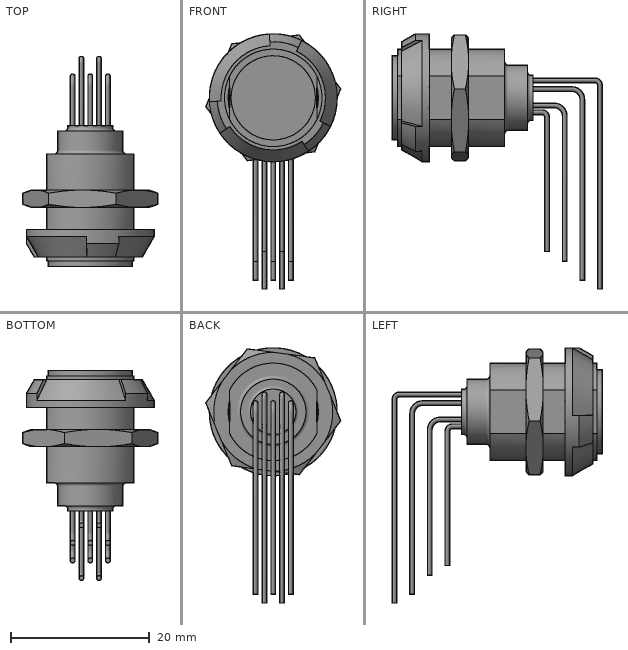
import cadquery as cq
import math


body_radius = 7.02
flat_offset = 6.3
cap_radius = 6.07
cap_length = 0.8
body_end = 16.22
neck_radius = 4.7
neck_end = 19.53
neck_fillet = 0.5
boss_radius = 3.27
boss_end = 20.3
boss_fillet = 0.45

collar_radius = 9.25
collar_front = 1.35
collar_back = 5.37
cone_start = 4.35
lug_cone_start = 3.35
cone_angle = 30
lug_count = 3
lug_span = 30
lug_start_angle = 63.5
relief_overshoot = 0.75

bore_radius = 6.47
recess_depth = 0.2

nut_front = 8.55
nut_back = 11.0
nut_corner_radius = 9.82
nut_turn = 7.6
nut_face_radius = 8.57
nut_chamfer_depth = 0.45

pin_radius = 0.35
pin_pitch = 2.55
last_row_y = 29.95
small_bend = 0.7
large_bend = 1.5
two_pins = (-pin_pitch / 2, pin_pitch / 2)
three_pins = (-pin_pitch, 0, pin_pitch)
pin_rows = [
    (two_pins, 2.5, -27.55, small_bend),
    (three_pins, 1.25, -26.3, large_bend),
    (three_pins, -1.1, -23.58, large_bend),
    (two_pins, -2.1, -22.15, small_bend),
]


def turn_about_axis(solid, angle):
    """Rotate a solid about the Y axis, from +X towards +Z."""
    return solid.rotate((0, 0, 0), (0, -1, 0), angle)


def turned(profile, angle=360):
    """Revolve an XY profile about the Y axis, from +X towards +Z."""
    return profile.revolve(angle, (0, 0), (0, -1))


def cylinder(radius, start, end):
    return cq.Workplane("XZ", origin=(0, start, 0)).circle(radius).extrude(start - end)


def flatted_barrel():
    barrel = cylinder(body_radius, cap_length, body_end)
    flats = cq.Workplane("XY").box(2 * flat_offset, 2 * body_end, 2 * body_radius)
    return barrel.intersect(flats)


def rear_step(radius, start, end, fillet):
    """Cylinder with a concave fillet where it leaves the shoulder at start."""
    middle = fillet * (1 - math.sqrt(0.5))
    profile = (
        cq.Workplane("XY")
        .moveTo(0, start)
        .lineTo(radius + fillet, start)
        .threePointArc((radius + middle, start + middle), (radius, start + fillet))
        .lineTo(radius, end)
        .lineTo(0, end)
        .close()
    )
    return turned(profile)


def cone_front_radius(cone_edge):
    """Radius at the collar front of a cone that leaves the rim at cone_edge."""
    return collar_radius - (cone_edge - collar_front) * math.tan(math.radians(cone_angle))


def collar():
    """Ring with the outer lug cone, cut back to the main cone between the lugs."""
    ring = turned(cq.Workplane("XY").polyline([
        (body_radius, collar_front),
        (cone_front_radius(lug_cone_start), collar_front),
        (collar_radius, lug_cone_start),
        (collar_radius, collar_back),
        (bore_radius, collar_back),
        (bore_radius, collar_front + recess_depth),
        (body_radius, collar_front + recess_depth),
    ]).close())
    lug_pitch = 360 / lug_count
    for index in range(lug_count):
        relief = turned(cq.Workplane("XY").polyline([
            (cone_front_radius(cone_start), collar_front),
            (collar_radius, cone_start),
            (collar_radius + relief_overshoot, cone_start),
            (collar_radius + relief_overshoot, collar_front),
        ]).close(), lug_pitch - lug_span)
        ring = ring.cut(turn_about_axis(relief, lug_start_angle + lug_span + index * lug_pitch))
    return ring


def hex_nut():
    """Hexagon with chamfered corners and a bore that is recessed at the front."""
    prism = cq.Workplane("XZ", origin=(0, nut_front, 0)).polygon(6, 2 * nut_corner_radius)
    prism = prism.extrude(nut_front - nut_back)
    envelope = turned(cq.Workplane("XY").polyline([
        (body_radius, nut_front),
        (nut_face_radius, nut_front),
        (nut_corner_radius, nut_front + nut_chamfer_depth),
        (nut_corner_radius, nut_back - nut_chamfer_depth),
        (nut_face_radius, nut_back),
        (bore_radius, nut_back),
        (bore_radius, nut_front + recess_depth),
        (body_radius, nut_front + recess_depth),
    ]).close())
    return turn_about_axis(prism, nut_turn).intersect(envelope)


def bent_pin(x, leg_y, leg_z, tip_z, bend):
    """Pin running back from inside the boss, then bent down to its tip."""
    root_y = neck_end
    middle = bend * (1 - math.sqrt(0.5))
    path = (
        cq.Workplane("YZ", origin=(x, 0, 0))
        .moveTo(root_y, leg_z)
        .lineTo(leg_y - bend, leg_z)
        .threePointArc((leg_y - middle, leg_z - middle), (leg_y, leg_z - bend))
        .lineTo(leg_y, tip_z)
    )
    return cq.Workplane("XZ", origin=(x, root_y, leg_z)).circle(pin_radius).sweep(path)


result = (
    cylinder(cap_radius, 0, cap_length)
    .union(flatted_barrel())
    .union(rear_step(neck_radius, body_end, neck_end, neck_fillet))
    .union(rear_step(boss_radius, neck_end, boss_end, boss_fillet))
    .union(collar())
    .union(hex_nut())
)

for row, (places, leg_z, tip_z, bend) in enumerate(pin_rows):
    for x in places:
        result = result.union(bent_pin(x, last_row_y - row * pin_pitch, leg_z, tip_z, bend))